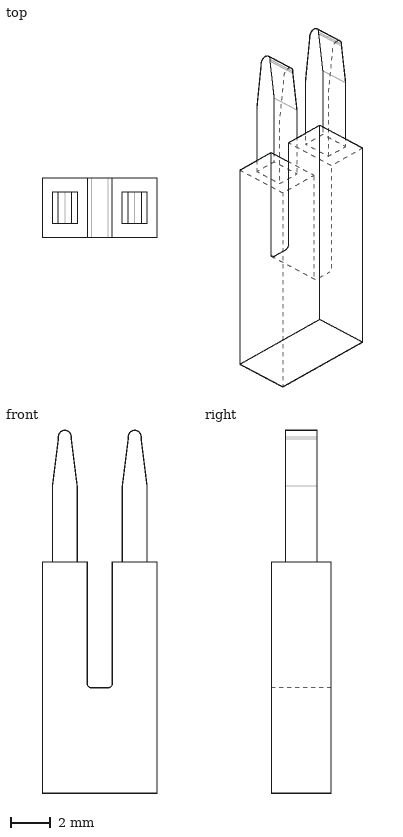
import cadquery as cq
import math

body_width = 5.75
body_depth = 3.0
body_height = 11.6

slot_width = 1.25
slot_depth = 6.3
slot_corner_radius = 0.2

pin_pitch = 3.5
pin_width = 1.25
pin_depth = 1.6
pin_length = 6.6
taper_start = 2.79
tip_width = 0.66
tip_radius = 0.35
tip_height = 0.45


def make_body():
    """Block with a round-cornered slot cut through it from front to back."""
    block = cq.Workplane("XY").box(body_width, body_depth, body_height, centered=(True, True, False))
    slot = (
        cq.Workplane("XY", origin=(0, 0, body_height - slot_depth))
        .box(slot_width, body_depth, slot_depth, centered=(True, True, False))
        .edges("|Y and <Z")
        .fillet(slot_corner_radius)
    )
    return block.cut(slot)


def make_pin(center_x):
    """Flat pin that tapers to a narrow, straight-sided tip with a rounded end."""
    half_width = pin_width / 2
    half_tip = tip_width / 2
    top_z = body_height + pin_length
    shoulder_z = top_z - taper_start
    tip_base_z = top_z - tip_height
    arc_height = math.sqrt(tip_radius**2 - (tip_radius - half_tip) ** 2)
    arc_start_z = top_z - arc_height

    return (
        cq.Workplane("XZ", origin=(center_x, 0, 0))
        .moveTo(-half_width, body_height)
        .lineTo(-half_width, shoulder_z)
        .lineTo(-half_tip, tip_base_z)
        .lineTo(-half_tip, arc_start_z)
        .radiusArc((0, top_z), tip_radius)
        .radiusArc((half_tip, arc_start_z), tip_radius)
        .lineTo(half_tip, tip_base_z)
        .lineTo(half_width, shoulder_z)
        .lineTo(half_width, body_height)
        .close()
        .extrude(pin_depth / 2, both=True)
    )


result = make_body()
for side in (-1, 1):
    result = result.union(make_pin(side * pin_pitch / 2))